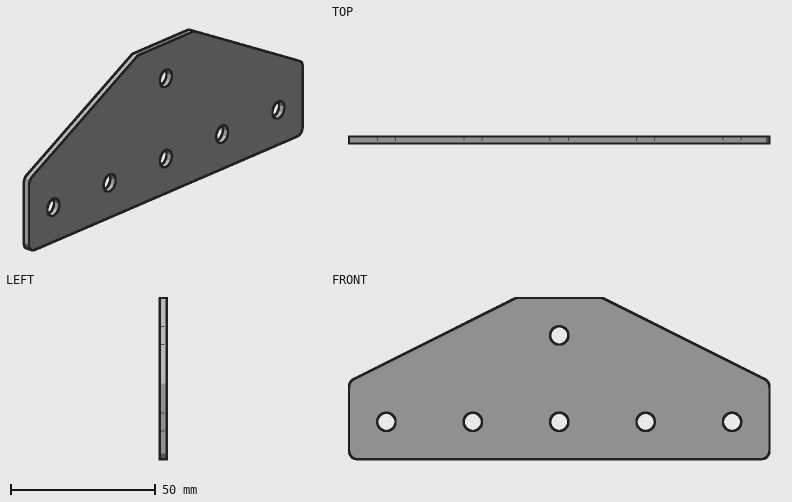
import cadquery as cq

length = 146.0
thickness = 2.5
height = 56.0
end_height = 27.0
top_length = 30.1
corner_radius = 2.9

hole_diameter = 6.3
holes_in_row = 5
edge_margin = 13.0
hole_pitch = (length - 2 * edge_margin) / (holes_in_row - 1)

half_length = length / 2
half_top = top_length / 2
bottom = -height / 2
top = height / 2
shoulder = bottom + end_height
plate = (
    cq.Workplane("XZ")
    .polyline([
        (-half_length, bottom),
        (half_length, bottom),
        (half_length, shoulder),
        (half_top, top),
        (-half_top, top),
        (-half_length, shoulder),
    ])
    .close()
    .extrude(thickness / 2, both=True)
    .edges("|Y")
    .fillet(corner_radius)
)

row_z = bottom + edge_margin
middle_index = (holes_in_row - 1) / 2
hole_centers = [((i - middle_index) * hole_pitch, row_z) for i in range(holes_in_row)]
hole_centers.append((0, row_z + hole_pitch))
holes = (
    cq.Workplane("XZ")
    .pushPoints(hole_centers)
    .circle(hole_diameter / 2)
    .extrude(thickness, both=True)
)

result = plate.cut(holes)